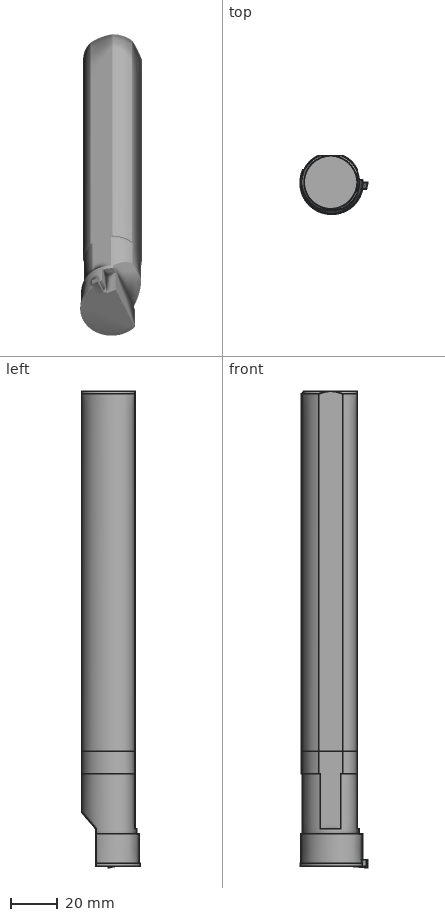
import cadquery as cq

total_length = 203.2
shank_radius = 12.5
flat_distance = 11.4
shank_bottom = 49.8
end_chamfer = 1.2

neck_top = 40.0
neck_radius = 12.2
flats_bottom = 16.7
cutting_end_top = 14.5
head_bottom = 0.6
cutting_end_radius = 13.2
cutting_end_x = 0.5
cutting_end_y = 0.0
rim_top = 2.0
rim_radius = 13.5
rim_x = 0.5
rim_y = -0.2

clearance_y = 5.3
slope_top = 23.8
pocket_floor_y = 1.0
pocket_left_x = 8.5
cut_margin = 20.3

insert_left_x = 9.3
insert_tip_x = 15.8
insert_height = 3.5
insert_thickness = 2.8
insert_relief = 0.6


def cylinder(radius, bottom, top, x=0, y=0):
    """Vertical cylinder between two heights."""
    return cq.Workplane("XY", origin=(x, y, bottom)).circle(radius).extrude(top - bottom)


def flat_envelope(bottom, top):
    """Block whose +X, +Y and -Y sides trim a bar to its flats."""
    left = -shank_radius - cut_margin
    return cq.Workplane("XY", origin=(left, -flat_distance, bottom)).box(
        flat_distance - left, 2 * flat_distance, top - bottom, centered=False
    )


def make_shank():
    bar = cylinder(shank_radius, shank_bottom, total_length).faces(">Z").chamfer(end_chamfer)
    return bar.intersect(flat_envelope(shank_bottom, total_length))


def make_insert():
    """Cutting tip that narrows away from its rake face."""
    return (
        cq.Workplane("XZ")
        .polyline([
            (insert_left_x, insert_relief),
            (insert_tip_x, 0),
            (insert_tip_x, insert_height),
            (insert_left_x, insert_height),
        ])
        .close()
        .workplane(offset=insert_thickness)
        .polyline([
            (insert_left_x, insert_relief),
            (insert_tip_x - insert_relief, insert_relief),
            (insert_tip_x - insert_relief, insert_height),
            (insert_left_x, insert_height),
        ])
        .close()
        .loft(ruled=True)
    )


def make_chip_clearance():
    """Cut above the chip face, ending in a slope that runs out at the +Y flat."""
    outer_y = flat_distance + cut_margin
    width = 2 * cut_margin
    return (
        cq.Workplane("YZ", origin=(-cut_margin, 0, 0))
        .polyline([
            (clearance_y, -cut_margin),
            (outer_y, -cut_margin),
            (outer_y, slope_top),
            (flat_distance, slope_top),
            (clearance_y, flats_bottom),
        ])
        .close()
        .extrude(width)
    )


def make_chip_pocket():
    """Deeper pocket beside the insert, open towards +X and downwards."""
    return cq.Workplane("XY", origin=(pocket_left_x, pocket_floor_y, 0)).box(
        cut_margin, cut_margin, cutting_end_top, centered=False
    )


def make_insert_seat():
    """Room for the insert and the open space above its rake face."""
    width = insert_tip_x - insert_left_x
    above_rake = cq.Workplane("XY", origin=(insert_left_x, 0, 0)).box(
        width, pocket_floor_y, insert_height, centered=False
    )
    return above_rake.union(make_insert())


def make_head():
    collar = cylinder(shank_radius, neck_top, shank_bottom)
    neck = cylinder(neck_radius, flats_bottom, neck_top)
    flatted = collar.union(neck).intersect(flat_envelope(flats_bottom, shank_bottom))
    round_neck = cylinder(neck_radius, cutting_end_top, flats_bottom)
    cutting_end = cylinder(
        cutting_end_radius, head_bottom, cutting_end_top, cutting_end_x, cutting_end_y
    )
    rim = cylinder(rim_radius, head_bottom, rim_top, rim_x, rim_y)
    head = flatted.union(round_neck).union(cutting_end).union(rim)
    return head.cut(make_chip_clearance()).cut(make_chip_pocket()).cut(make_insert_seat())


shank = make_shank()
head = make_head()
insert = make_insert()

result = cq.Compound.makeCompound([shank.val(), head.val(), insert.val()])